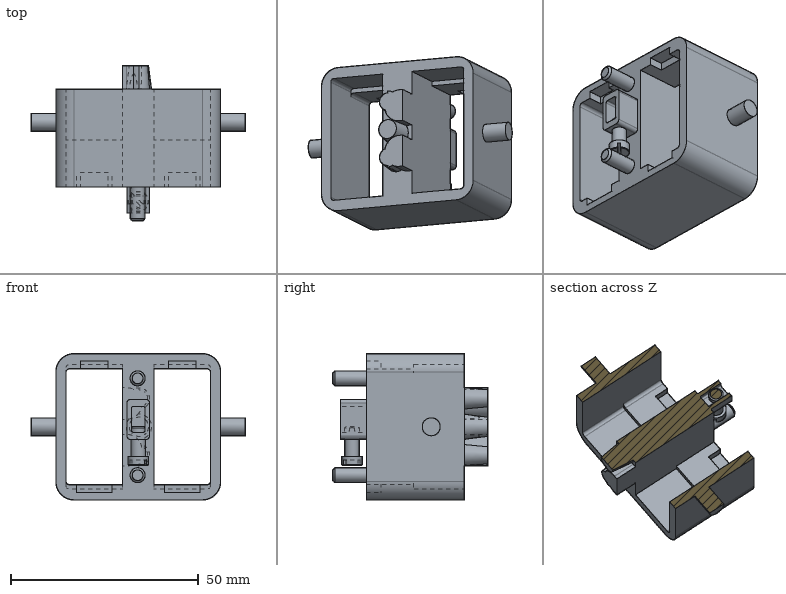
import cadquery as cq
import math

body_width = 43.9
body_depth = 26.1
body_height = 39.0
body_corner_radius = 4.9

divider_width = 8.45
side_wall = 2.75
window_height = 30.8
window_corner_radius = 0.9
rear_step_height = 1.2
rear_step_start = 12.55

notch_height = 2.1
notch_depth = 3.95
top_notch_width = 7.3
bottom_notch_width = 9.35

trunnion_span = 57.0
trunnion_radius = 2.4
trunnion_y = 17.25

guide_pin_radius = 2.0
guide_pin_length = 8.95
guide_pin_chamfer = 0.55
guide_pin_x = -0.15
guide_pin_z = 12.9

box_width = 6.05
box_top = 7.3
box_bottom = -3.35
box_length = 6.9
box_corner_radius = 0.95
box_cavity_width = 3.65
box_cavity_top = 5.4
box_cavity_bottom = -1.5
box_cavity_corner_radius = 0.5

screw_y = -3.8
screw_radius = 1.95
screw_tip_z = 0.05
screw_tip_chamfer = 0.4
screw_head_radius = 2.75
screw_head_top = -7.85
screw_head_bottom = -10.25
screw_head_chamfer = 0.15
screw_slot_width = 0.8
screw_slot_depth = 1.35
screw_slot_angle = -45.0

key_length = 6.2
lobe_flat_x = -divider_width / 2
lobe_arc_center_x = -3.2
lobe_radius = 4.2
lobe_z = 6.2
post_x = 0.15
middle_post_base_radius = 3.35
middle_post_tip_radius = 2.55
outer_post_base_radius = 2.85
outer_post_tip_radius = 2.35
outer_post_z = 7.5

window_inner_x = divider_width / 2
window_width = body_width / 2 - side_wall - window_inner_x
window_x = window_inner_x + window_width / 2


def block(x_min, x_max, y_min, y_max, z_min, z_max):
    """Axis-aligned block between the given limits."""
    size = (x_max - x_min, y_max - y_min, z_max - z_min)
    return cq.Workplane("XY").box(*size, centered=False).translate((x_min, y_min, z_min))


def y_cylinder(x, z, radius, y_start, y_end):
    """Cylinder along Y from y_start to the larger y_end."""
    plane = cq.Workplane("XZ", origin=(x, y_start, z))
    return plane.circle(radius).extrude(-(y_end - y_start))


def make_body():
    half_height = window_height / 2
    body = block(
        -body_width / 2, body_width / 2, 0, body_depth, -body_height / 2, body_height / 2
    ).edges("|Y").fillet(body_corner_radius)
    for side in (-1, 1):
        outer_edges = ">X" if side > 0 else "<X"
        x_min = side * window_x - window_width / 2
        x_max = side * window_x + window_width / 2
        window = block(x_min, x_max, 0, body_depth, -half_height, half_height)
        window = window.faces(outer_edges).edges("|Y").fillet(window_corner_radius)
        rear_half_height = half_height + rear_step_height
        rear_window = block(
            x_min, x_max, rear_step_start, body_depth, -rear_half_height, rear_half_height
        )
        rear_window = rear_window.faces(outer_edges).edges("|Y").fillet(window_corner_radius)
        body = body.cut(window).cut(rear_window)
        for end, width in ((1, top_notch_width), (-1, bottom_notch_width)):
            notch = cq.Workplane("XY").box(width, notch_depth, 2 * notch_height)
            body = body.cut(notch.translate((side * window_x, notch_depth / 2, end * half_height)))
    return body


def make_trunnion(side):
    plane = cq.Workplane("YZ", origin=(side * (body_width / 2 - side_wall / 2), trunnion_y, 0))
    length = trunnion_span / 2 - body_width / 2 + side_wall / 2
    return plane.circle(trunnion_radius).extrude(side * length)


def make_guide_pin(z):
    pin = y_cylinder(guide_pin_x, z, guide_pin_radius, -guide_pin_length, 0)
    return pin.faces("<Y").chamfer(guide_pin_chamfer)


def make_nut_box():
    outer = block(-box_width / 2, box_width / 2, -box_length, 0, box_bottom, box_top)
    cavity = block(
        -box_cavity_width / 2, box_cavity_width / 2, -box_length, 0, box_cavity_bottom, box_cavity_top
    )
    outer = outer.edges("|Y").fillet(box_corner_radius)
    return outer.cut(cavity.edges("|Y").fillet(box_cavity_corner_radius))


def make_screw():
    shank_plane = cq.Workplane("XY", origin=(0, screw_y, screw_head_top))
    shank = shank_plane.circle(screw_radius).extrude(screw_tip_z - screw_head_top)
    shank = shank.faces(">Z").chamfer(screw_tip_chamfer)
    head_plane = cq.Workplane("XY", origin=(0, screw_y, screw_head_bottom))
    head = head_plane.circle(screw_head_radius).extrude(screw_head_top - screw_head_bottom)
    head = head.faces("<Z").chamfer(screw_head_chamfer)
    slot = head_plane.transformed(rotate=(0, 0, screw_slot_angle))
    slot = slot.rect(2 * screw_head_radius, screw_slot_width).extrude(screw_slot_depth)
    return shank.union(head.cut(slot))


def make_lobe(z):
    """D-shaped lobe: a flat strip closed by a half circle toward +X."""
    strip = block(
        lobe_flat_x, lobe_arc_center_x, body_depth, body_depth + key_length,
        z - lobe_radius, z + lobe_radius,
    )
    rounded = y_cylinder(lobe_arc_center_x, z, lobe_radius, body_depth, body_depth + key_length)
    keep = block(
        lobe_arc_center_x, lobe_arc_center_x + lobe_radius, body_depth, body_depth + key_length,
        z - lobe_radius, z + lobe_radius,
    )
    return strip.union(rounded.intersect(keep))


def make_tapered_post(z, base_radius, tip_radius):
    draft = math.degrees(math.atan((base_radius - tip_radius) / key_length))
    plane = cq.Workplane("XZ", origin=(post_x, body_depth, z))
    return plane.circle(base_radius).extrude(-key_length, taper=draft)


def make_outer_post(z):
    """Tapered post whose -X half is straight."""
    radius = outer_post_base_radius
    straight = y_cylinder(post_x, z, radius, body_depth, body_depth + key_length)
    straight_half = straight.intersect(
        block(
            post_x - radius, post_x, body_depth, body_depth + key_length, z - radius, z + radius
        )
    )
    return make_tapered_post(z, radius, outer_post_tip_radius).union(straight_half)


result = make_body()
for side in (-1, 1):
    result = result.union(make_trunnion(side))
    result = result.union(make_guide_pin(side * guide_pin_z))
    result = result.union(make_lobe(side * lobe_z))
    result = result.union(make_outer_post(side * outer_post_z))
result = result.union(make_nut_box()).union(make_screw())
result = result.union(make_tapered_post(0, middle_post_base_radius, middle_post_tip_radius))